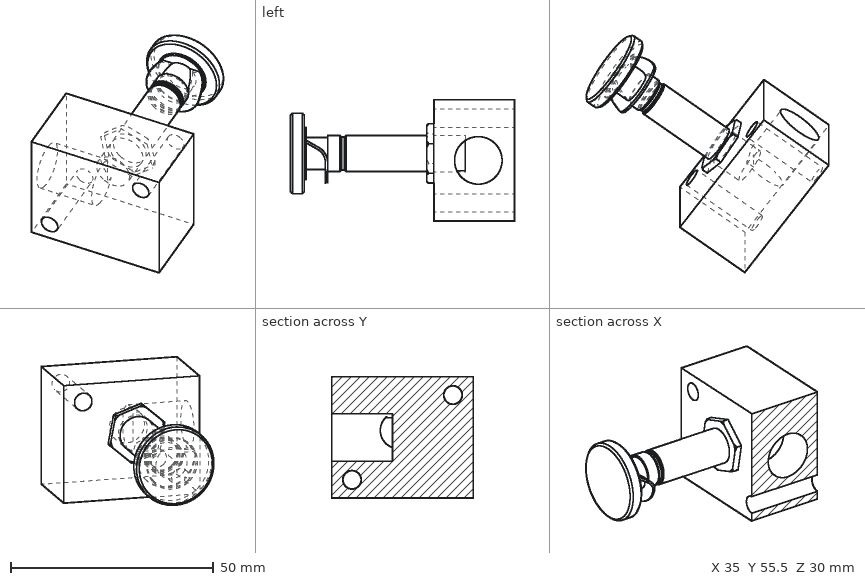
import cadquery as cq
import math

BLOCK_X = 35.0
BLOCK_Y = 20.0
BLOCK_Z = 30.0
MOUNT_HOLE_D = 4.5
MOUNT_HOLE_X = 12.5
MOUNT_HOLE_Z = 10.5
PORT_D = 11.75
PORT_Y = 9.0
PORT_DEPTH = 15.0

STEM_X = -1.0
STEM_Z = 1.7
STEM_R = 4.5
STEM_START = BLOCK_Y - 7.75
SHOULDER_Y = 46.3
NECK_R = 4.0

GROOVE_START = 41.7
GROOVE_END = 43.3
GROOVE_DEPTH = 0.4
GROOVE_BEVEL = 0.3
GROOVE_SIDE = 0.5

HEX_FLATS = 13.0
HEX_LENGTH = 1.8
HEX_TURN = 11.0
HEX_BEVEL = 0.45

KNOB_R = 10.0
KNOB_END = 55.5
KNOB_START = KNOB_END - 3.5
KNOB_CHAMFER = 0.55
BOSS_R = 6.55
BOSS_START = KNOB_START - 0.5
BOSS_CHAMFER = 0.3

WING_R = 7.3
SHEET_HALF_SIZE = WING_R + 0.55
WING_THICKNESS = 0.55
WING_SLOPE = 30.0
WING_BEND_R = 4.2
WING_BEND_Z = -2.2
WING_CENTRE_Y = SHOULDER_Y + 1.0


def along_y(start):
    """Workplane on the stem axis at Y = start, facing +Y; its local y points along -Z."""
    return cq.Workplane(cq.Plane((STEM_X, start, STEM_Z), (1, 0, 0), (0, 1, 0)))


def rod(radius, start, end):
    return along_y(start).circle(radius).extrude(end - start)


def make_block():
    block = cq.Workplane("XY").box(BLOCK_X, BLOCK_Y, BLOCK_Z).translate((0, BLOCK_Y / 2, 0))
    mount_holes = (
        cq.Workplane("XZ")
        .pushPoints([(MOUNT_HOLE_X, MOUNT_HOLE_Z), (-MOUNT_HOLE_X, -MOUNT_HOLE_Z)])
        .circle(MOUNT_HOLE_D / 2)
        .extrude(-BLOCK_Y)
    )
    port = (
        cq.Workplane("YZ", origin=(-BLOCK_X / 2, 0, 0))
        .center(PORT_Y, 0)
        .circle(PORT_D / 2)
        .extrude(PORT_DEPTH)
    )
    stem_hole = rod(STEM_R, STEM_START, BLOCK_Y)
    return block.cut(mount_holes).cut(port).cut(stem_hole)


def make_stem():
    bevel_r = STEM_R - GROOVE_BEVEL
    floor_r = STEM_R - GROOVE_DEPTH
    profile = [
        (0, STEM_START),
        (STEM_R, STEM_START),
        (STEM_R, GROOVE_START),
        (bevel_r, GROOVE_START + GROOVE_BEVEL),
        (floor_r, GROOVE_START + GROOVE_SIDE),
        (floor_r, GROOVE_END - GROOVE_SIDE),
        (bevel_r, GROOVE_END - GROOVE_BEVEL),
        (STEM_R, GROOVE_END),
        (STEM_R, SHOULDER_Y),
        (NECK_R, SHOULDER_Y),
        (NECK_R, KNOB_START),
        (0, KNOB_START),
    ]
    stem = cq.Workplane("XY").polyline(profile).close().revolve(360, (0, 0), (0, 1))
    return stem.translate((STEM_X, 0, STEM_Z))


def make_hexagon():
    corner_r = HEX_FLATS / 2 / math.cos(math.radians(30))
    hexagon = (
        along_y(BLOCK_Y)
        .transformed(rotate=(0, 0, 30 - HEX_TURN))
        .polygon(6, 2 * corner_r)
        .extrude(HEX_LENGTH)
    )
    bevel_envelope = rod(corner_r, BLOCK_Y, BLOCK_Y + HEX_LENGTH).faces(">Y").chamfer(HEX_BEVEL)
    return hexagon.intersect(bevel_envelope)


def make_knob():
    knob = rod(KNOB_R, KNOB_START, KNOB_END).edges("%CIRCLE").chamfer(KNOB_CHAMFER)
    boss = rod(BOSS_R, BOSS_START, KNOB_START).faces("<Y").chamfer(BOSS_CHAMFER)
    return knob.union(boss)


def make_wing():
    """Sheet bent about X and trimmed to a spherical outline, so it narrows towards the knob."""
    slope = math.radians(WING_SLOPE)
    bend_angle = math.pi / 2 - slope
    bend_y = SHOULDER_Y + WING_BEND_R
    inner_r = WING_BEND_R - WING_THICKNESS

    def on_bend(radius, angle):
        return (bend_y - radius * math.cos(angle), WING_BEND_Z + radius * math.sin(angle))

    def on_slope(radius):
        y, z = on_bend(radius, bend_angle)
        return (KNOB_START, z + (KNOB_START - y) * math.tan(slope))

    sheet = (
        cq.Workplane("YZ", origin=(STEM_X - SHEET_HALF_SIZE, 0, STEM_Z))
        .moveTo(SHOULDER_Y, -SHEET_HALF_SIZE)
        .lineTo(SHOULDER_Y, WING_BEND_Z)
        .threePointArc(on_bend(WING_BEND_R, bend_angle / 2), on_bend(WING_BEND_R, bend_angle))
        .lineTo(*on_slope(WING_BEND_R))
        .lineTo(*on_slope(inner_r))
        .lineTo(*on_bend(inner_r, bend_angle))
        .threePointArc(on_bend(inner_r, bend_angle / 2), on_bend(inner_r, 0))
        .lineTo(SHOULDER_Y + WING_THICKNESS, -SHEET_HALF_SIZE)
        .close()
        .extrude(2 * SHEET_HALF_SIZE)
    )
    outline = cq.Workplane("XY").sphere(WING_R).translate((STEM_X, WING_CENTRE_Y, STEM_Z))
    return sheet.intersect(outline)



block = make_block()
knob_stem = make_stem().union(make_hexagon()).union(make_knob()).union(make_wing())

result = cq.Compound.makeCompound([block.val(), knob_stem.val()])